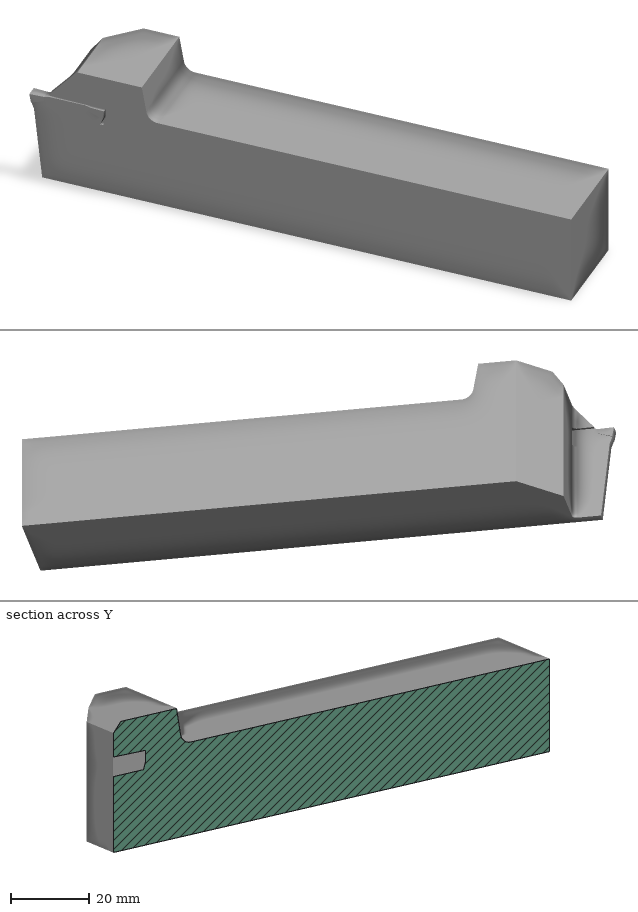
import cadquery as cq
import math

length = 150.0
shank_height = 25.0
shank_width = 25.0
head_height = 35.0
head_top_start = 13.2
head_top_end = 31.0
head_back_angle = 10.0
head_fillet = 3.2

blade_thickness = 2.4
blade_fillet = 1.2
blade_toe_x = 3.5
head_front_x = 10.8
head_corner_chamfer = 10.4

insert_length = 20.7
insert_bottom = 20.5
insert_top = 25.4
insert_bottom_inset = 1.2
edge_width = 3.0
edge_overhang = 0.3
edge_length = 4.0
edge_drop_tip = 2.5
edge_drop_root = 1.4
edge_relief = 0.5
edge_root_inset = 0.22
ramp_length = 1.2

pocket_depth = 3.5
pocket_front_top = 25.8
pocket_back_top = 25.5
pocket_back_x = 21.0
pocket_floor_end = 20.4

edge_z = shank_height
tip_bottom = edge_z - edge_drop_tip
ramp_end = edge_length + ramp_length


def side_prism(points, y_start, width):
    """Extrude an XZ outline from y_start towards +Y."""
    return cq.Workplane("XZ", origin=(0, y_start, 0)).polyline(points).close().extrude(-width)


def mirrored_end(solid):
    """Mirror a feature to the other end of the insert."""
    return solid.mirror("YZ", (insert_length / 2, 0, 0))


def make_insert():
    half_outline = [
        (insert_bottom_inset, insert_bottom),
        (edge_relief, tip_bottom),
        (0, edge_z),
        (edge_length, edge_z),
        (ramp_end, insert_top),
    ]
    other_half = [(insert_length - x, z) for x, z in reversed(half_outline)]
    insert = side_prism(half_outline + other_half, 0, blade_thickness)
    edge_outline = [
        (edge_relief, tip_bottom),
        (0, edge_z),
        (edge_length, edge_z),
        (edge_length, edge_z - edge_drop_root),
    ]
    edge_back = edge_width - edge_overhang
    edge_plan = [
        (0, -edge_overhang),
        (edge_length, edge_root_inset - edge_overhang),
        (edge_length, edge_back - edge_root_inset),
        (0, edge_back),
    ]
    edge_taper = cq.Workplane("XY").polyline(edge_plan).close().extrude(head_height)
    edge = side_prism(edge_outline, -edge_overhang, edge_width).intersect(edge_taper)
    return insert.union(edge).union(mirrored_end(edge))


def make_holder_profile():
    back_run = (head_height - shank_height) * math.tan(math.radians(head_back_angle))
    back_foot_x = head_top_end + back_run
    outline = [
        (blade_toe_x, 0),
        (length, 0),
        (length, shank_height),
        (back_foot_x, shank_height),
        (head_top_end, head_height),
        (head_top_start, head_height),
        (ramp_end, pocket_front_top),
        (ramp_end, insert_bottom),
        (insert_bottom_inset, insert_bottom),
    ]
    profile = side_prism(outline, 0, shank_width)
    foot_edge = cq.selectors.NearestToPointSelector((back_foot_x, shank_width / 2, shank_height))
    return profile.edges(foot_edge).fillet(head_fillet)


def make_pocket():
    outline = [
        (0, insert_bottom),
        (pocket_floor_end, insert_bottom),
        (pocket_back_x, tip_bottom),
        (pocket_back_x, pocket_back_top),
        (ramp_end, pocket_front_top),
        (0, pocket_front_top),
    ]
    return side_prism(outline, 0, pocket_depth)


def make_plan():
    """Plan outline: blade, rounded step to the head, and chamfered corner."""
    return (
        cq.Workplane("XY")
        .moveTo(0, 0)
        .lineTo(length, 0)
        .lineTo(length, shank_width)
        .lineTo(head_front_x + head_corner_chamfer, shank_width)
        .lineTo(head_front_x, shank_width - head_corner_chamfer)
        .lineTo(head_front_x, blade_thickness + blade_fillet)
        .radiusArc((head_front_x - blade_fillet, blade_thickness), blade_fillet)
        .lineTo(0, blade_thickness)
        .close()
        .extrude(head_height)
    )


insert = make_insert()
holder = make_holder_profile().intersect(make_plan()).cut(make_pocket())

result = cq.Compound.makeCompound([holder.val(), insert.val()])